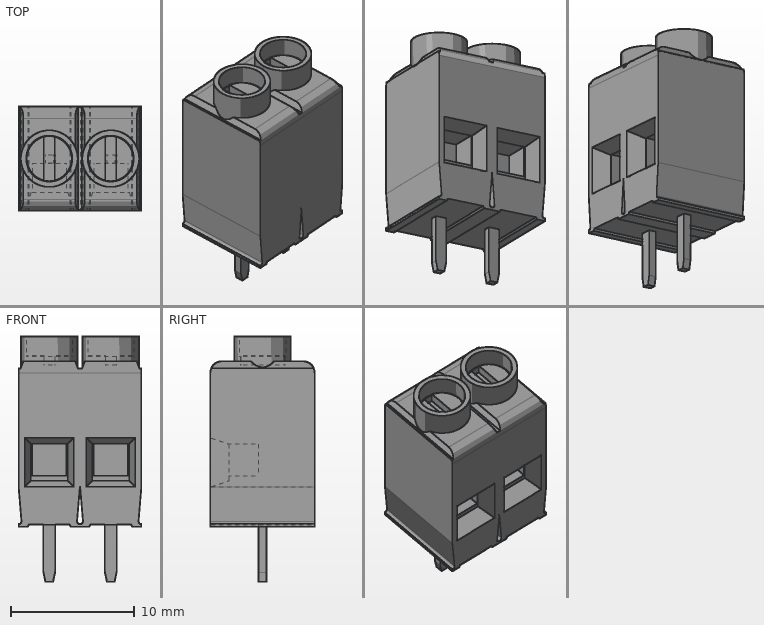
import cadquery as cq

pole_count = 2
pitch = 4.997
body_width = pole_count * pitch
body_depth = 8.5
total_height = 19.95
foot_z = 4.47
body_top_z = 17.94
top_edge_radius = 0.95

flank_inset = 0.25
flank_top_z = 7.72
flank_bottom_z = 4.7
flank_corner_radius = 0.2
groove_floor_z = 17.35
groove_floor_half = 0.15
groove_top_half = 0.4

recess_z = 4.65
recess_top_width = 3.31
recess_bottom_width = 3.51

tower_diameter = 4.6
bore_diameter = 3.75
screw_diameter = 3.65
screw_top_z = 18.43
screw_gap_depth = 0.1
screw_slot_width = 0.85
screw_slot_depth = 0.8

entry_size = 3.99
entry_center_z = 9.72
funnel_inset = 0.5
funnel_depth = 1.5
pocket_width = 2.8
pocket_height = 2.6
pocket_depth = 2.4

pin_width = 0.98
pin_tip_width = 0.64
pin_thickness = 0.65
pin_tip_height = 0.8

front_y = -body_depth / 2
pole_centers = [(i - (pole_count - 1) / 2) * pitch for i in range(pole_count)]
pole_borders = [(i - pole_count / 2) * pitch for i in range(pole_count + 1)]
funnel_end_size = entry_size - 2 * funnel_inset
funnel_end_top_z = entry_center_z + funnel_end_size / 2


def extrude_along_y(points, depth):
    """Prism with an XZ outline, centred on y = 0."""
    return cq.Workplane("XZ").polyline(points).close().extrude(depth / 2, both=True)


def cylinder(x, diameter, bottom_z, top_z):
    """Upright cylinder on the middle line of a pole."""
    return (
        cq.Workplane("XY", origin=(x, 0, bottom_z))
        .circle(diameter / 2)
        .extrude(top_z - bottom_z)
    )


def make_block():
    block = cq.Workplane("XY", origin=(0, 0, foot_z)).box(
        body_width, body_depth, body_top_z - foot_z, centered=(True, True, False)
    )
    return block.edges("|X and >Z").fillet(top_edge_radius)


def border_slit(x):
    """Wedge that narrows upwards, with a rounded bottom."""
    wedge = extrude_along_y(
        [
            (x - flank_inset, flank_bottom_z),
            (x + flank_inset, flank_bottom_z),
            (x, flank_top_z),
        ],
        body_depth,
    )
    return wedge.edges("|Y and <Z").fillet(flank_corner_radius)


def border_groove(x):
    """V groove with a flat floor in the top of the block."""
    return extrude_along_y(
        [
            (x - groove_floor_half, groove_floor_z),
            (x + groove_floor_half, groove_floor_z),
            (x + groove_top_half, body_top_z),
            (x - groove_top_half, body_top_z),
        ],
        body_depth,
    )


def foot_recess(x):
    return extrude_along_y(
        [
            (x - recess_bottom_width / 2, foot_z),
            (x + recess_bottom_width / 2, foot_z),
            (x + recess_top_width / 2, recess_z),
            (x - recess_top_width / 2, recess_z),
        ],
        body_depth,
    )


def wire_entry(x):
    """Tapered funnel followed by a rectangular pocket flush with the funnel's upper edge."""
    funnel = (
        cq.Workplane("XZ", origin=(x, front_y, entry_center_z))
        .rect(entry_size, entry_size)
        .workplane(offset=-funnel_depth)
        .rect(funnel_end_size, funnel_end_size)
        .loft(ruled=True)
    )
    pocket = cq.Workplane(
        "XY", origin=(x, front_y + funnel_depth, funnel_end_top_z - pocket_height)
    ).box(pocket_width, pocket_depth, pocket_height, centered=(True, False, False))
    return funnel.union(pocket)


def screw_bore(x):
    """Tower bore, leaving a slotted screw head with a narrow gap around it."""
    bore = cylinder(x, bore_diameter, screw_top_z - screw_gap_depth, total_height)
    head = cylinder(x, screw_diameter, screw_top_z - screw_gap_depth, screw_top_z)
    slot_bar = cq.Workplane("XY", origin=(x, 0, screw_top_z - screw_slot_depth)).box(
        screw_slot_width, screw_diameter, screw_slot_depth, centered=(True, True, False)
    )
    slot = slot_bar.intersect(
        cylinder(x, screw_diameter, screw_top_z - screw_slot_depth, screw_top_z)
    )
    return bore.cut(head).union(slot)


def solder_pin(x):
    """Flat pin with a tapered tip."""
    return extrude_along_y(
        [
            (x - pin_tip_width / 2, 0),
            (x + pin_tip_width / 2, 0),
            (x + pin_width / 2, pin_tip_height),
            (x + pin_width / 2, recess_z),
            (x - pin_width / 2, recess_z),
            (x - pin_width / 2, pin_tip_height),
        ],
        pin_thickness,
    )


result = make_block()
for border_x in pole_borders:
    result = result.cut(border_slit(border_x)).cut(border_groove(border_x))
for pole_x in pole_centers:
    result = result.cut(foot_recess(pole_x)).cut(wire_entry(pole_x))
    result = result.union(cylinder(pole_x, tower_diameter, groove_floor_z, total_height))
    result = result.cut(screw_bore(pole_x)).union(solder_pin(pole_x))